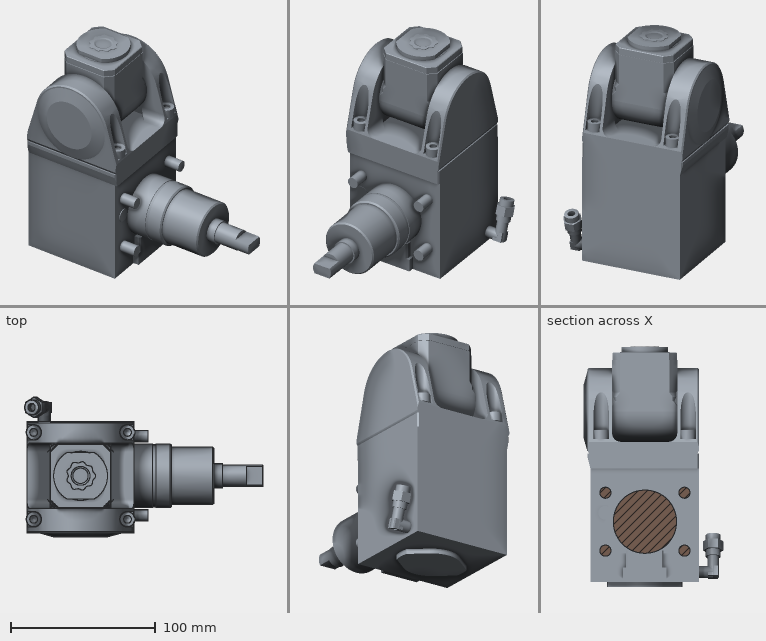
import cadquery as cq
import math


HALF_X = 37.0
LOWER_X_MAX = 35.0
HALF_Y = 37.5
FRONT_Y = -39.5
BASE_Z = -41.8
COLLAR_Z = 36.5
STRIP_TAPER_Z = 44.4
GROOVE_Z = 47.0
GROOVE_TOP_Z = 49.0
EDGE_CHAMFER = 1.0

PIVOT_Z = 76.0
FORK_RADIUS = 30.0
FORK_GAP = 45.0
FLOOR_Z = 55.0
FLOOR_FILLET = 6.0
CAP_RADIUS = 28.0
CAP_FACE_RADIUS = 18.7
CAP_HEIGHT = 2.6
RECESS_HALF_X = 22.8

SCREW_X = 32.4
SCREW_Y = 30.0
SCREW_SEAT_Z = 56.9
SCREW_TOP_Z = 63.2
SCREW_HEAD_RADIUS = 5.15
SCREW_POCKET_RADIUS = 5.4
SCREW_SOCKET_RADIUS = 2.7
SCREW_SOCKET_DEPTH = 2.0
SCREW_SOCKET_CONE = 1.5

HEAD_HALF_X = 21.0
HEAD_TOP_Z = 111.3
SEAM_HEIGHT = 0.3
SEAM_INSET = 0.3
COVER_INSET_Y = 0.3
COVER_TOP_Z = 116.7
COVER_CHAMFER = 0.4
HEAD_BEVEL = 5.4
HEAD_BEVEL_STEP = 3.2
BEVEL_FULL_Z = 89.0
BEVEL_STEP_TOP_Z = 86.0
BEVEL_STEP_BOTTOM_Z = 83.3
BEVEL_END_Z = 79.6

NECK_RADIUS = 17.0
DISC_BOTTOM_Z = 117.1
DISC_TOP_Z = 120.4
DISC_RADIUS = 18.6
DISC_FLAT_WIDTH = 32.0
ROSETTE_TOP_Z = 120.9
ROSETTE_RADIUS = 9.45
ROSETTE_RIPPLE = 0.6
ROSETTE_SWELL = 0.4
ROSETTE_LOBES = 9
ROSETTE_LARGE_LOBES = 3
ROSETTE_POINTS = 72
BORE_RADIUS = 6.5
BORE_FLOOR_RADIUS = 5.3
BORE_DEPTH = 0.5

FLANGE_RADIUS = 22.0
FLANGE_END_X = 49.8
RELIEF_RADIUS = 21.5
RELIEF_END_X = 52.0
RING_END_X = 62.9
RING_CHAMFER = 1.0
BARREL_RADIUS = 20.0
BARREL_END_X = 92.0
BARREL_CHAMFER = 1.0
SHOULDER_RADIUS = 8.5
SHOULDER_END_X = 98.0
SHAFT_RADIUS = 7.5
TANG_START_X = 114.7
TANG_END_X = 125.9
TANG_THICKNESS = 8.0
TANG_CHAMFER = 0.3

PIN_RADIUS = 4.0
PIN_END_X = 46.6
PIN_Y = 27.3
PIN_Z = 20.0
KEY_END_X = 39.6
KEY_WIDTH = 30.0
KEY_NECK_WIDTH = 26.0
KEY_BOTTOM_Z = -41.3
KEY_STEP_Z = -31.7
KEY_TOP_Z = -20.0
KEY_CHAMFER = 1.1
BUTTON_RADIUS = 4.7
BUTTON_Z = 6.0
BUTTON_HEIGHT = 0.5

BASE_FLANGE_HEIGHT = 3.6
BASE_SIDE_RADIUS = 20.2
BASE_END_RADIUS = 26.0
BASE_TANGENT_ANGLE = math.radians(38)

ELBOW_X = -25.05
ELBOW_Y = 47.25
ELBOW_Z = -35.0
PIPE_RADIUS = 4.2
STEM_RADIUS = 4.05
FITTING_TILT = 19.0
ELBOW_LENGTH = 8.0
ELBOW_WIDTH = 7.0
ELBOW_NOTCH_Y = -1.2
ELBOW_NOTCH_Z = 0.6
FERRULE_START = 11.2
NUT_START = 15.8
NUT_END = 22.5
NUT_CORNER_RADIUS = 7.02
FERRULE_RADIUS = 5.1
FITTING_LENGTH = 27.0
FITTING_BORE_RADIUS = 2.7
FITTING_BORE_DEPTH = 6.0


def box(x_min, x_max, y_min, y_max, z_min, z_max):
    corner = (x_min, y_min, z_min)
    block = cq.Workplane("XY").box(x_max - x_min, y_max - y_min, z_max - z_min, centered=False)
    return block.translate(corner)


def disc_z(radius, z_min, z_max, x=0.0, y=0.0):
    return cq.Workplane("XY", origin=(x, y, z_min)).circle(radius).extrude(z_max - z_min)


def disc_x(radius, x_min, x_max, y=0.0, z=0.0):
    return cq.Workplane("YZ", origin=(x_min, y, z)).circle(radius).extrude(x_max - x_min)


def beveled_prism(half_x, half_y, bevel, z_min, z_max):
    block = box(-half_x, half_x, -half_y, half_y, z_min, z_max)
    return block.edges("|Z").chamfer(bevel)


def fork_blank():
    """Collar and fork outline: a round top with tangents down to the side walls."""
    shoulder_drop = PIVOT_Z - FLOOR_Z
    reach = math.hypot(HALF_X, shoulder_drop)
    tangent_angle = math.acos(FORK_RADIUS / reach) - math.atan2(shoulder_drop, HALF_X)
    tangent_x = FORK_RADIUS * math.cos(tangent_angle)
    tangent_z = PIVOT_Z + FORK_RADIUS * math.sin(tangent_angle)
    blank = (
        cq.Workplane("XZ", origin=(0, HALF_Y, 0))
        .moveTo(-HALF_X, COLLAR_Z)
        .lineTo(HALF_X, COLLAR_Z)
        .lineTo(HALF_X, FLOOR_Z)
        .lineTo(tangent_x, tangent_z)
        .threePointArc((0, PIVOT_Z + FORK_RADIUS), (-tangent_x, tangent_z))
        .lineTo(-HALF_X, FLOOR_Z)
        .close()
        .extrude(HALF_Y - FRONT_Y)
    )
    rim = cq.selectors.BoxSelector(
        (-HALF_X, FRONT_Y - 1, FLOOR_Z + 1), (HALF_X, HALF_Y + 1, PIVOT_Z + FORK_RADIUS + 1)
    )
    return blank.faces("<Y or >Y").edges(rim).chamfer(EDGE_CHAMFER)


def collar_groove_cut(outer_y, side):
    """Groove between the fork plate and the collar strip on one Y side."""
    inner_y = outer_y - side * EDGE_CHAMFER
    clear_y = outer_y + side
    return (
        cq.Workplane("YZ", origin=(-HALF_X, 0, 0))
        .polyline([
            (outer_y, GROOVE_TOP_Z),
            (inner_y, GROOVE_Z),
            (clear_y, GROOVE_Z),
            (clear_y, GROOVE_TOP_Z),
        ])
        .close()
        .extrude(2 * HALF_X)
    )


def collar_corner_cut(x_side, outer_y, y_side):
    """Vertical bevel on one corner of the collar strip."""
    corner_x = x_side * HALF_X
    return (
        cq.Workplane("XY", origin=(0, 0, COLLAR_Z))
        .polyline([
            (corner_x, outer_y),
            (corner_x - x_side * EDGE_CHAMFER, outer_y),
            (corner_x, outer_y - y_side * EDGE_CHAMFER),
        ])
        .close()
        .extrude(GROOVE_Z - COLLAR_Z)
    )


def collar_taper_cut():
    """Slope leading the front of the collar back to the housing wall."""
    return (
        cq.Workplane("YZ", origin=(-HALF_X, 0, 0))
        .polyline([(FRONT_Y, STRIP_TAPER_Z), (-HALF_Y, COLLAR_Z), (FRONT_Y, COLLAR_Z)])
        .close()
        .extrude(2 * HALF_X)
    )


def fork_gap_cut():
    """Gap between the fork arms; its floor fillets stop at a beveled recess around the head."""
    top_z = PIVOT_Z + FORK_RADIUS
    half_gap = FORK_GAP / 2
    gap = box(-HALF_X, HALF_X, -half_gap, half_gap, FLOOR_Z, top_z)
    gap = gap.edges("|X and <Z").fillet(FLOOR_FILLET)
    recess = beveled_prism(RECESS_HALF_X, half_gap, FLOOR_FILLET, FLOOR_Z, top_z)
    return gap.union(recess)


def pivot_cap():
    """Truncated cone covering the pivot on the front fork arm."""
    return (
        cq.Workplane("XZ", origin=(0, FRONT_Y, PIVOT_Z))
        .circle(CAP_RADIUS)
        .workplane(offset=CAP_HEIGHT)
        .circle(CAP_FACE_RADIUS)
        .loft(combine=True)
    )


def screw_pocket(x, y):
    """Round-backed pocket above the screw seat, open toward the outside in X."""
    top_z = PIVOT_Z + FORK_RADIUS
    near_y = y - SCREW_POCKET_RADIUS
    far_y = y + SCREW_POCKET_RADIUS
    x_min, x_max = sorted((x, math.copysign(HALF_X, x)))
    mouth = box(x_min, x_max, near_y, far_y, SCREW_SEAT_Z, top_z)
    return disc_z(SCREW_POCKET_RADIUS, SCREW_SEAT_Z, top_z, x, y).union(mouth)


def screw_head(x, y):
    """Screw head with a round socket that ends in a cone."""
    head = disc_z(SCREW_HEAD_RADIUS, SCREW_SEAT_Z, SCREW_TOP_Z, x, y)
    cone_z = SCREW_TOP_Z - SCREW_SOCKET_DEPTH
    socket = disc_z(SCREW_SOCKET_RADIUS, cone_z, SCREW_TOP_Z, x, y)
    down = cq.Vector(0, 0, -1)
    tip = cq.Solid.makeCone(SCREW_SOCKET_RADIUS, 0, SCREW_SOCKET_CONE, cq.Vector(x, y, cone_z), down)
    return head.cut(socket).cut(cq.Workplane(tip))


def housing():
    body = fork_blank()
    for outer_y, y_side in ((FRONT_Y, -1), (HALF_Y, 1)):
        body = body.cut(collar_groove_cut(outer_y, y_side))
        for x_side in (-1, 1):
            body = body.cut(collar_corner_cut(x_side, outer_y, y_side))
    body = body.cut(collar_taper_cut()).cut(fork_gap_cut())
    body = body.union(box(-HALF_X, LOWER_X_MAX, -HALF_Y, HALF_Y, BASE_Z, COLLAR_Z))
    body = body.union(pivot_cap())
    for x in (-SCREW_X, SCREW_X):
        for y in (-SCREW_Y, SCREW_Y):
            body = body.cut(screw_pocket(x, y))
            body = body.union(screw_head(x, y))
    return body


def head_corner_cut(x_side, y_side):
    """Bevel along one upright corner of the head, stepping out to nothing below."""
    outward = cq.Vector(x_side, y_side, 0)
    across = cq.Vector(-y_side, x_side, 0)
    corner = (x_side * HEAD_HALF_X, y_side * FORK_GAP / 2, 0)
    plane = cq.Plane(origin=corner, xDir=outward, normal=across)
    up = plane.yDir.z
    full_depth = HEAD_BEVEL / math.sqrt(2)
    step_depth = HEAD_BEVEL_STEP / math.sqrt(2)
    profile = [
        (0, BEVEL_END_Z),
        (-step_depth, BEVEL_STEP_BOTTOM_Z),
        (-step_depth, BEVEL_STEP_TOP_Z),
        (-full_depth, BEVEL_FULL_Z),
        (-full_depth, HEAD_TOP_Z),
        (0, HEAD_TOP_Z),
    ]
    return (
        cq.Workplane(plane)
        .polyline([(depth, up * z) for depth, z in profile])
        .close()
        .extrude(HEAD_BEVEL, both=True)
    )


def swivel_head():
    half_y = FORK_GAP / 2
    head = box(-HEAD_HALF_X, HEAD_HALF_X, -half_y, half_y, PIVOT_Z, HEAD_TOP_Z)
    for x_side in (-1, 1):
        for y_side in (-1, 1):
            head = head.cut(head_corner_cut(x_side, y_side))
    knuckle = cq.Workplane("XZ", origin=(0, half_y, PIVOT_Z)).circle(HEAD_HALF_X).extrude(FORK_GAP)
    cover_half_y = half_y - COVER_INSET_Y
    seam_top_z = HEAD_TOP_Z + SEAM_HEIGHT
    seam_half_x = HEAD_HALF_X - SEAM_INSET
    seam_half_y = cover_half_y - SEAM_INSET
    seam = beveled_prism(seam_half_x, seam_half_y, HEAD_BEVEL, HEAD_TOP_Z, seam_top_z)
    cover = beveled_prism(HEAD_HALF_X, cover_half_y, HEAD_BEVEL, seam_top_z, COVER_TOP_Z)
    cover = cover.faces(">Z").chamfer(COVER_CHAMFER)
    return head.union(knuckle).union(seam).union(cover)


def rosette_point(turn):
    """Nine-lobed outline with every third lobe larger."""
    angle = 2 * math.pi * turn
    ripple = ROSETTE_RIPPLE * math.cos(ROSETTE_LOBES * angle)
    swell = ROSETTE_SWELL * math.cos(ROSETTE_LARGE_LOBES * angle)
    radius = ROSETTE_RADIUS + ripple + swell
    return (radius * math.cos(angle), radius * math.sin(angle))


def spindle_nose():
    neck = disc_z(NECK_RADIUS, COVER_TOP_Z, DISC_BOTTOM_Z)
    half_flat = DISC_FLAT_WIDTH / 2
    disc = disc_z(DISC_RADIUS, DISC_BOTTOM_Z, DISC_TOP_Z)
    disc = disc.intersect(
        box(-DISC_RADIUS, DISC_RADIUS, -half_flat, half_flat, DISC_BOTTOM_Z, DISC_TOP_Z)
    )
    rosette = (
        cq.Workplane("XY", origin=(0, 0, DISC_TOP_Z))
        .spline([rosette_point(i / ROSETTE_POINTS) for i in range(ROSETTE_POINTS)], periodic=True)
        .close()
        .extrude(ROSETTE_TOP_Z - DISC_TOP_Z)
    )
    bore = (
        cq.Workplane("XY", origin=(0, 0, ROSETTE_TOP_Z))
        .circle(BORE_RADIUS)
        .workplane(offset=-BORE_DEPTH)
        .circle(BORE_FLOOR_RADIUS)
        .loft(combine=True)
    )
    return neck.union(disc).union(rosette).cut(bore)


def drive_shaft():
    flange = disc_x(FLANGE_RADIUS, 0, FLANGE_END_X)
    relief = disc_x(RELIEF_RADIUS, FLANGE_END_X, RELIEF_END_X)
    ring = disc_x(FLANGE_RADIUS, RELIEF_END_X, RING_END_X).faces(">X").chamfer(RING_CHAMFER)
    barrel = disc_x(BARREL_RADIUS, RING_END_X, BARREL_END_X).faces(">X").chamfer(BARREL_CHAMFER)
    shoulder = disc_x(SHOULDER_RADIUS, BARREL_END_X, SHOULDER_END_X)
    shaft = disc_x(SHAFT_RADIUS, SHOULDER_END_X, TANG_END_X).faces(">X").chamfer(TANG_CHAMFER)
    for side in (-1, 1):
        z_near, z_far = sorted((side * TANG_THICKNESS / 2, side * SHAFT_RADIUS))
        shaft = shaft.cut(box(TANG_START_X, TANG_END_X, -SHAFT_RADIUS, SHAFT_RADIUS, z_near, z_far))
    return flange.union(relief).union(ring).union(barrel).union(shoulder).union(shaft)


def drive_side_details():
    """Locating pins, key block and button on the drive side wall."""
    key = box(LOWER_X_MAX, KEY_END_X, -KEY_WIDTH / 2, KEY_WIDTH / 2, KEY_BOTTOM_Z, KEY_STEP_Z)
    key_neck = box(LOWER_X_MAX, KEY_END_X, -KEY_NECK_WIDTH / 2, KEY_NECK_WIDTH / 2, KEY_STEP_Z, KEY_TOP_Z)
    details = key.union(key_neck.edges(">X and |Z").chamfer(KEY_CHAMFER))
    for y in (-PIN_Y, PIN_Y):
        for z in (-PIN_Z, PIN_Z):
            details = details.union(disc_x(PIN_RADIUS, LOWER_X_MAX, PIN_END_X, y, z))
    return details.union(disc_x(BUTTON_RADIUS, LOWER_X_MAX, LOWER_X_MAX + BUTTON_HEIGHT, -PIN_Y, BUTTON_Z))


def base_flange():
    tangent_x = BASE_SIDE_RADIUS * math.cos(BASE_TANGENT_ANGLE)
    tangent_y = BASE_SIDE_RADIUS * math.sin(BASE_TANGENT_ANGLE)
    run = math.sqrt(BASE_END_RADIUS ** 2 - BASE_SIDE_RADIUS ** 2)
    end_x = tangent_x - run * math.sin(BASE_TANGENT_ANGLE)
    end_y = tangent_y + run * math.cos(BASE_TANGENT_ANGLE)
    return (
        cq.Workplane("XY", origin=(0, 0, BASE_Z - BASE_FLANGE_HEIGHT))
        .moveTo(tangent_x, -tangent_y)
        .threePointArc((BASE_SIDE_RADIUS, 0), (tangent_x, tangent_y))
        .lineTo(end_x, end_y)
        .threePointArc((0, BASE_END_RADIUS), (-end_x, end_y))
        .lineTo(-tangent_x, tangent_y)
        .threePointArc((-BASE_SIDE_RADIUS, 0), (-tangent_x, -tangent_y))
        .lineTo(-end_x, -end_y)
        .threePointArc((0, -BASE_END_RADIUS), (end_x, -end_y))
        .close()
        .extrude(BASE_FLANGE_HEIGHT)
    )


def coolant_fitting():
    """Elbow on the rear wall with a nipple leaning toward -X."""
    half_length = ELBOW_LENGTH / 2
    half_width = ELBOW_WIDTH / 2
    elbow = cq.Workplane("XY").box(ELBOW_LENGTH, ELBOW_WIDTH, ELBOW_WIDTH)
    inner_corner = box(-half_length, half_length, -half_width, ELBOW_NOTCH_Y, ELBOW_NOTCH_Z, half_width)
    elbow = elbow.cut(inner_corner)
    stem = disc_z(STEM_RADIUS, -half_width, FERRULE_START)
    ferrule = disc_z(FERRULE_RADIUS, FERRULE_START, FITTING_LENGTH)
    nut = (
        cq.Workplane("XY", origin=(0, 0, NUT_START))
        .polygon(6, 2 * NUT_CORNER_RADIUS)
        .extrude(NUT_END - NUT_START)
        .rotate((0, 0, 0), (0, 0, 1), 90)
    )
    bore = disc_z(FITTING_BORE_RADIUS, FITTING_LENGTH - FITTING_BORE_DEPTH, FITTING_LENGTH)
    nipple = elbow.union(stem).union(ferrule).union(nut).cut(bore)
    nipple = nipple.rotate((0, 0, 0), (0, 1, 0), -FITTING_TILT).translate((ELBOW_X, ELBOW_Y, ELBOW_Z))
    pipe = (
        cq.Workplane("XZ", origin=(ELBOW_X, ELBOW_Y, ELBOW_Z))
        .circle(PIPE_RADIUS)
        .extrude(ELBOW_Y - HALF_Y)
    )
    return nipple.union(pipe)


result = housing()
for feature in (swivel_head, spindle_nose, drive_shaft, drive_side_details, base_flange, coolant_fitting):
    result = result.union(feature())